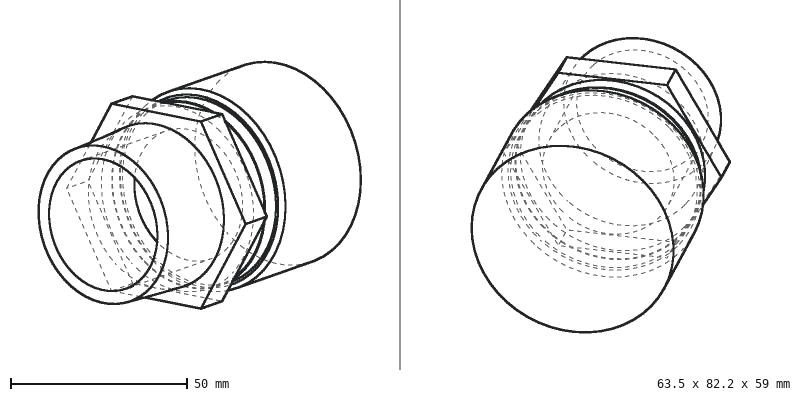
import cadquery as cq

total_length = 82.2
hex_across_corners = 63.5

spigot_length = 24.9
hex_length = 10.0
front_collar_length = 5.2
rear_collar_length = 5.1

spigot_end_diameter = 46.0
spigot_root_diameter = 48.2
front_collar_diameter = 54.0
rear_collar_diameter = 54.5
body_diameter = 59.0
bore_diameter = 38.5

body_chamfer = 1.5

spigot_end = -total_length / 2
hex_start = spigot_end + spigot_length
hex_end = hex_start + hex_length
collar_step = hex_end + front_collar_length
body_start = collar_step + rear_collar_length
body_end = total_length / 2
bore_end = collar_step


def section_plane(y):
    """Plane at the given Y, with its normal along +Y and local x along X."""
    return cq.Workplane(cq.Plane(origin=(0, y, 0), xDir=(1, 0, 0), normal=(0, 1, 0)))


def cylinder(diameter, start, end):
    return section_plane(start).circle(diameter / 2).extrude(end - start)


spigot = (
    section_plane(spigot_end)
    .circle(spigot_end_diameter / 2)
    .workplane(offset=spigot_length)
    .circle(spigot_root_diameter / 2)
    .loft(ruled=True)
)

wrench_grip = section_plane(hex_start).polygon(6, hex_across_corners).extrude(hex_length)

front_collar = cylinder(front_collar_diameter, hex_end, collar_step)
rear_collar = cylinder(rear_collar_diameter, collar_step, body_start)

body = cylinder(body_diameter, body_start, body_end).faces("<Y").chamfer(body_chamfer)

bore = cylinder(bore_diameter, spigot_end, bore_end)

result = spigot.union(wrench_grip).union(front_collar).union(rear_collar).union(body).cut(bore)